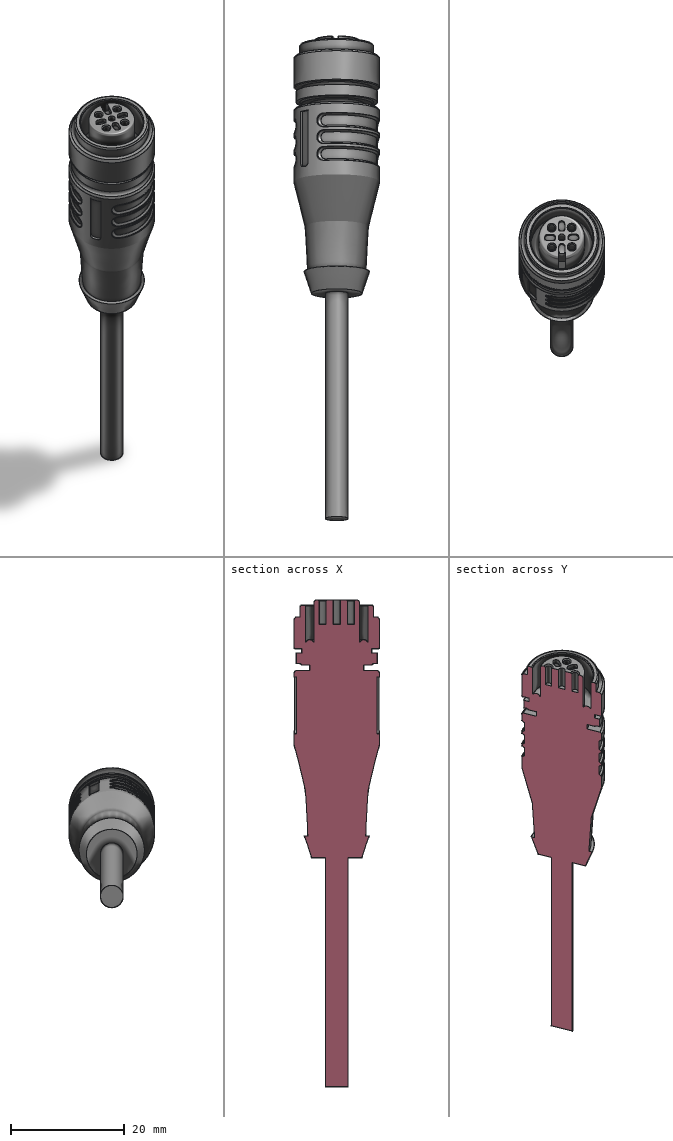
import cadquery as cq
import math


plug_face_z = 85.5
sleeve_top_z = 84.6
nut_top_z = 82.5
nut_bottom_z = 76.9
flange_top_z = 76.2
flange_bottom_z = 74.3
bevel_bottom_z = 74.05
grip_top_z = 73.1
grip_bottom_z = 60.0
cone_bottom_z = 52.1
collar_top_z = 44.0
collar_bottom_z = 40.2

cable_radius = 4.0 / 2
insert_radius = 8.0 / 2
bore_radius = 10.95 / 2
neck_radius = 9.6 / 2
nut_neck_radius = 12.3 / 2
sleeve_radius = 13.0 / 2
flange_radius = 14.3 / 2
body_radius = 15.05 / 2
cone_end_radius = 5.6
strain_relief_end_radius = 5.1
collar_top_radius = 5.7
collar_bottom_radius = 4.45

insert_fillet = 0.5
sleeve_chamfer = 0.25
bore_chamfer = 0.2
nut_chamfer = 0.385
nut_bottom_chamfer = 0.2
grip_chamfer = 0.3

groove_floor_z = 77.8
seal_radius = (bore_radius - insert_radius) / 2
seal_centre_radius = (bore_radius + insert_radius) / 2

contact_circle_radius = 2.5
contact_diameter = 1.1
contact_mouth_diameter = 1.5
centre_contact_diameter = 1.2
contact_depth = 4.3
cross_slot_width = 1.1
cross_slot_inner = 1.1
cross_slot_outer = 3.0
cross_slot_depth = 0.85
key_inner = 2.7
key_width = 1.2
key_angle = 135

pocket_count = 3
pocket_pitch = 3.0
top_pocket_z = 69.85
pocket_height = 2.5
pocket_end_x = 2.8
pocket_floor_radius = 7.0
pocket_floor_bevel = 0.3

recess_width = 2.0
recess_top_z = 71.9
recess_bottom_z = 62.0
recess_depth = 0.4
recess_corner_radius = 0.6


def turned_body():
    """Revolve the half outline, from the cable end up to the plug face."""
    outline = (
        cq.Workplane("XZ")
        .lineTo(cable_radius, 0)
        .lineTo(cable_radius, collar_bottom_z)
        .lineTo(collar_bottom_radius, collar_bottom_z)
        .lineTo(collar_top_radius, collar_top_z)
        .lineTo(strain_relief_end_radius, collar_top_z)
        .lineTo(cone_end_radius, cone_bottom_z)
        .lineTo(body_radius, grip_bottom_z)
        .lineTo(body_radius, grip_top_z - grip_chamfer)
        .lineTo(body_radius - grip_chamfer, grip_top_z)
        .lineTo(neck_radius, grip_top_z)
        .lineTo(neck_radius, bevel_bottom_z)
        .lineTo(nut_neck_radius, bevel_bottom_z)
        .lineTo(sleeve_radius, flange_bottom_z)
        .lineTo(flange_radius, flange_bottom_z)
        .lineTo(flange_radius, flange_top_z)
        .lineTo(nut_neck_radius, flange_top_z)
        .lineTo(nut_neck_radius, nut_bottom_z)
        .lineTo(body_radius - nut_bottom_chamfer, nut_bottom_z)
        .lineTo(body_radius, nut_bottom_z + nut_bottom_chamfer)
        .lineTo(body_radius, nut_top_z - nut_chamfer)
        .lineTo(body_radius - nut_chamfer, nut_top_z)
        .lineTo(sleeve_radius, nut_top_z)
        .lineTo(sleeve_radius, sleeve_top_z - sleeve_chamfer)
        .lineTo(sleeve_radius - sleeve_chamfer, sleeve_top_z)
        .lineTo(bore_radius + bore_chamfer, sleeve_top_z)
        .lineTo(bore_radius, sleeve_top_z - bore_chamfer)
        .lineTo(bore_radius, groove_floor_z)
        .threePointArc(
            (seal_centre_radius, groove_floor_z + seal_radius),
            (insert_radius, groove_floor_z),
        )
        .lineTo(insert_radius, plug_face_z - insert_fillet)
        .radiusArc((insert_radius - insert_fillet, plug_face_z), -insert_fillet)
        .lineTo(0, plug_face_z)
        .close()
    )
    return outline.revolve(360, (0, 0, 0), (0, 1, 0))


def contact_hole(x, y, diameter):
    """Blind hole sunk from the plug face."""
    return (
        cq.Workplane("XY", origin=(x, y, plug_face_z))
        .circle(diameter / 2)
        .extrude(-contact_depth)
    )


def contact_lead_in(x, y):
    """45 degree cone that widens the mouth of a contact hole."""
    depth = (contact_mouth_diameter - contact_diameter) / 2
    return (
        cq.Workplane("XY", origin=(x, y, plug_face_z))
        .circle(contact_mouth_diameter / 2)
        .workplane(offset=-depth)
        .circle(contact_diameter / 2)
        .loft()
    )


def cross_slot(angle):
    """Shallow round-ended slot in the plug face, running outwards at the given angle."""
    return (
        cq.Workplane("XY", origin=(0, 0, plug_face_z))
        .center((cross_slot_inner + cross_slot_outer) / 2, 0)
        .slot2D(cross_slot_outer - cross_slot_inner, cross_slot_width)
        .extrude(-cross_slot_depth)
        .rotate((0, 0, 0), (0, 0, 1), angle)
    )


def keyway():
    """Square notch in the rim of the insert, running down to the seal."""
    return (
        cq.Workplane("XY", origin=(0, 0, plug_face_z))
        .center((key_inner + insert_radius) / 2, 0)
        .rect(insert_radius - key_inner, key_width)
        .extrude(groove_floor_z + seal_radius - plug_face_z)
        .rotate((0, 0, 0), (0, 0, 1), key_angle)
    )


def grip_pocket(side, centre_z):
    """Round-ended pocket wrapping around one X side, with a floor concentric with the body."""
    window_length = 2 * body_radius
    centre_x = side * (pocket_end_x + window_length / 2)
    window = (
        cq.Workplane("XZ", origin=(centre_x, 0, centre_z))
        .slot2D(window_length, pocket_height)
        .extrude(body_radius, both=True)
    )
    core = (
        cq.Workplane("XY", origin=(0, 0, grip_bottom_z))
        .circle(pocket_floor_radius)
        .extrude(grip_top_z - grip_bottom_z)
    )
    pocket = window.cut(core)
    floor = pocket.faces(cq.NearestToPointSelector((0, 0, centre_z)))
    return floor.edges().chamfer(pocket_floor_bevel)


def marking_recess(side):
    """Shallow flat-bottomed recess on one Y side, with rounded lower corners."""
    height = recess_top_z - recess_bottom_z
    return (
        cq.Workplane("XY", origin=(0, side * body_radius, recess_bottom_z))
        .rect(recess_width, 2 * recess_depth)
        .extrude(height)
        .faces("<Z")
        .edges("|Y")
        .fillet(recess_corner_radius)
    )


result = turned_body()

result = result.cut(contact_hole(0, 0, centre_contact_diameter))
for angle in range(0, 360, 90):
    x = contact_circle_radius * math.cos(math.radians(angle))
    y = contact_circle_radius * math.sin(math.radians(angle))
    result = result.cut(contact_hole(x, y, contact_diameter)).cut(contact_lead_in(x, y))

for angle in range(45, 360, 90):
    result = result.cut(cross_slot(angle))

result = result.cut(keyway())

for side in (-1, 1):
    result = result.cut(marking_recess(side))
    for row in range(pocket_count):
        result = result.cut(grip_pocket(side, top_pocket_z - row * pocket_pitch))